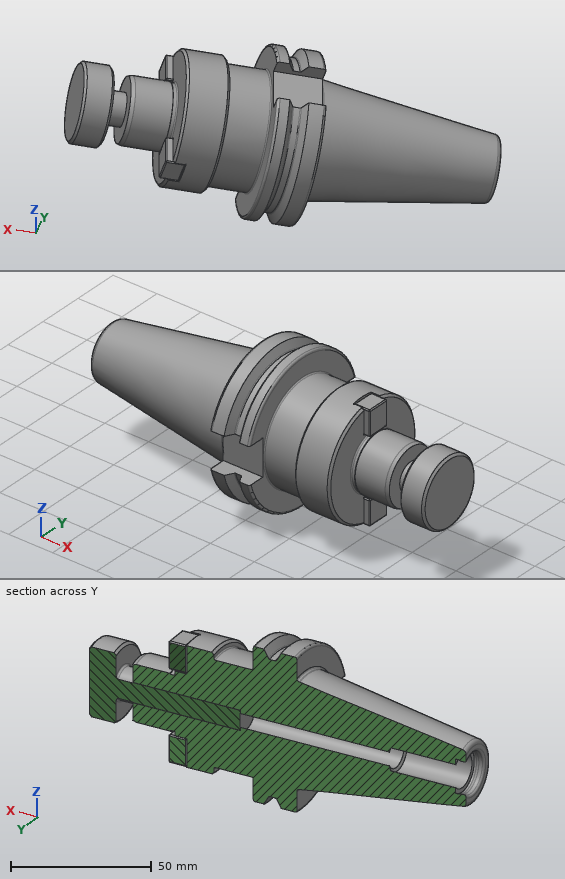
import cadquery as cq
import math

TOTAL_LENGTH = 154.2

GAUGE_DIAMETER = 44.5
TAPER_LENGTH = 68.0
TAPER_RATIO = 7 / 24
TAPER_END_FILLET = 1.7

ROOT_FILLET = 0.5

FLANGE_DIAMETER = 63.2
FLANGE_START = 69.3
FLANGE_END = 87.3
FLANGE_EDGE_FILLET = 1.0
GAUGE_FILLET = 1.0
GROOVE_CENTRE = 79.3
GROOVE_FLOOR_WIDTH = 3.0
GROOVE_FLOOR_DIAMETER = 56.1
GROOVE_FLANK_ANGLE = 60
DRIVE_SLOT_WIDTH = 16.4
DEEP_SLOT_FLOOR = 22.8
SHALLOW_SLOT_FLOOR = 25.0

COLLAR_DIAMETER = 50.0
COLLAR_START = 103.2
COLLAR_END = 119.2
COLLAR_CHAMFER = 1.0
PILOT_DIAMETER = 25.5
PILOT_END = 136.5
PILOT_CHAMFER_LENGTH = 1.5
PILOT_CHAMFER_DEPTH = 0.5
RELIEF_DIAMETER = 24.8
RELIEF_END = 121.1

MOUTH_DIAMETER = 18.0
PILOT_BORE_DIAMETER = 16.4
UNDERCUT_DIAMETER = 16.8
UNDERCUT_START = 2.3
UNDERCUT_FULL = 3.4
UNDERCUT_END = 4.3
DRAWBAR_BORE_DIAMETER = 13.4
DRAWBAR_BORE_DEPTH = 30.8
DRILL_POINT_ANGLE = 60
PASSAGE_DIAMETER = 11.3

SCREW_DIAMETER = 12.6
SCREW_START = 92.5
HEAD_DIAMETER = 30.0
HEAD_START = 143.1
HEAD_CHAMFER = 1.0
HEAD_FILLET = 0.8

KEY_START = 114.5
KEY_END = 121.9
KEY_WIDTH = 10.0
KEY_INNER_RADIUS = 13.1
KEY_OUTER_RADIUS = 24.4
KEY_CHAMFER = 0.5
KEY_SIDES = (1, -1)

SELECT_MARGIN = 0.2


def revolve_profile(points):
    """Solid of revolution about X from (x, diameter) points, closed along the axis."""
    outline = [(points[0][0], 0)]
    outline += [(x, diameter / 2) for x, diameter in points]
    outline += [(points[-1][0], 0)]
    return cq.Workplane("XY").polyline(outline).close().revolve(360, (0, 0), (1, 0))


def ring(x, diameter):
    """Selector for the circular edge of the given diameter around the axis at position x."""
    outer = diameter / 2 + SELECT_MARGIN
    inner = diameter / 2 - SELECT_MARGIN
    before = x - SELECT_MARGIN
    after = x + SELECT_MARGIN
    outer_box = cq.selectors.BoxSelector((before, -outer, -outer), (after, outer, outer), True)
    inner_box = cq.selectors.BoxSelector((before, -inner, -inner), (after, inner, inner), True)
    return outer_box - inner_box


def make_housing_blank():
    """Turned outside of the housing, before the bore and slots are cut."""
    small_end = GAUGE_DIAMETER - TAPER_LENGTH * TAPER_RATIO
    groove_depth = (FLANGE_DIAMETER - GROOVE_FLOOR_DIAMETER) / 2
    flank_length = groove_depth / math.tan(math.radians(GROOVE_FLANK_ANGLE))
    groove_half = GROOVE_FLOOR_WIDTH / 2
    blank = revolve_profile([
        (0, small_end),
        (TAPER_LENGTH, GAUGE_DIAMETER),
        (FLANGE_START, GAUGE_DIAMETER),
        (FLANGE_START, FLANGE_DIAMETER),
        (GROOVE_CENTRE - groove_half - flank_length, FLANGE_DIAMETER),
        (GROOVE_CENTRE - groove_half, GROOVE_FLOOR_DIAMETER),
        (GROOVE_CENTRE + groove_half, GROOVE_FLOOR_DIAMETER),
        (GROOVE_CENTRE + groove_half + flank_length, FLANGE_DIAMETER),
        (FLANGE_END, FLANGE_DIAMETER),
        (FLANGE_END, GAUGE_DIAMETER),
        (COLLAR_START, GAUGE_DIAMETER),
        (COLLAR_START, COLLAR_DIAMETER - 2 * COLLAR_CHAMFER),
        (COLLAR_START + COLLAR_CHAMFER, COLLAR_DIAMETER),
        (COLLAR_END - COLLAR_CHAMFER, COLLAR_DIAMETER),
        (COLLAR_END, COLLAR_DIAMETER - 2 * COLLAR_CHAMFER),
        (COLLAR_END, RELIEF_DIAMETER),
        (RELIEF_END, RELIEF_DIAMETER),
        (RELIEF_END, PILOT_DIAMETER),
        (PILOT_END - PILOT_CHAMFER_LENGTH, PILOT_DIAMETER),
        (PILOT_END, PILOT_DIAMETER - 2 * PILOT_CHAMFER_DEPTH),
    ])

    blank = blank.edges(ring(0, small_end)).fillet(TAPER_END_FILLET)
    for x in (FLANGE_START, FLANGE_END):
        blank = blank.edges(ring(x, FLANGE_DIAMETER)).fillet(FLANGE_EDGE_FILLET)
    blank = blank.edges(ring(FLANGE_START, GAUGE_DIAMETER)).fillet(GAUGE_FILLET)
    for x in (FLANGE_END, COLLAR_START):
        blank = blank.edges(ring(x, GAUGE_DIAMETER)).fillet(ROOT_FILLET)
    for x in (GROOVE_CENTRE - groove_half, GROOVE_CENTRE + groove_half):
        blank = blank.edges(ring(x, GROOVE_FLOOR_DIAMETER)).fillet(ROOT_FILLET)
    blank = blank.edges(ring(COLLAR_END, RELIEF_DIAMETER)).fillet(ROOT_FILLET)
    return blank


def make_drive_slot(floor, side):
    """Cutter for one flange slot; side is +1 or -1 along Y."""
    depth = FLANGE_DIAMETER / 2
    return (cq.Workplane("XY")
            .box(FLANGE_END - FLANGE_START, depth, DRIVE_SLOT_WIDTH, centered=(False, True, True))
            .translate((FLANGE_START, side * (floor + depth / 2), 0)))


def make_bore():
    """Cutter for the stepped bore, down to the hole that the screw fills."""
    shoulder = (DRAWBAR_BORE_DIAMETER - PASSAGE_DIAMETER) / 2
    drill_point = shoulder / math.tan(math.radians(DRILL_POINT_ANGLE))
    return revolve_profile([
        (0, PILOT_BORE_DIAMETER),
        (UNDERCUT_START, PILOT_BORE_DIAMETER),
        (UNDERCUT_FULL, UNDERCUT_DIAMETER),
        (UNDERCUT_END, UNDERCUT_DIAMETER),
        (UNDERCUT_END, DRAWBAR_BORE_DIAMETER),
        (DRAWBAR_BORE_DEPTH, DRAWBAR_BORE_DIAMETER),
        (DRAWBAR_BORE_DEPTH + drill_point, PASSAGE_DIAMETER),
        (SCREW_START, PASSAGE_DIAMETER),
        (SCREW_START, SCREW_DIAMETER),
        (PILOT_END, SCREW_DIAMETER),
    ])


def make_key(side):
    """Drive key, chamfered all round; side is +1 or -1 along Z."""
    height = KEY_OUTER_RADIUS - KEY_INNER_RADIUS
    key = (cq.Workplane("XY")
           .box(KEY_END - KEY_START, KEY_WIDTH, height, centered=(False, True, False))
           .edges()
           .chamfer(KEY_CHAMFER)
           .translate((KEY_START, 0, KEY_INNER_RADIUS)))
    return key if side > 0 else key.mirror("XY")


def make_key_slot(side):
    """Cutter for the slot that holds one key: square-cornered, open outwards and towards +X."""
    height = COLLAR_DIAMETER / 2 - KEY_INNER_RADIUS
    slot = (cq.Workplane("XY")
            .box(KEY_END - KEY_START, KEY_WIDTH, height, centered=(False, True, False))
            .translate((KEY_START, 0, KEY_INNER_RADIUS)))
    return slot if side > 0 else slot.mirror("XY")


def make_screw():
    """Clamping screw with a round head, the shank filling its hole in the pilot."""
    screw = revolve_profile([
        (SCREW_START, SCREW_DIAMETER),
        (HEAD_START, SCREW_DIAMETER),
        (HEAD_START, HEAD_DIAMETER - 2 * HEAD_CHAMFER),
        (HEAD_START + HEAD_CHAMFER, HEAD_DIAMETER),
        (TOTAL_LENGTH - HEAD_CHAMFER, HEAD_DIAMETER),
        (TOTAL_LENGTH, HEAD_DIAMETER - 2 * HEAD_CHAMFER),
    ])
    return screw.edges(ring(HEAD_START, SCREW_DIAMETER)).fillet(HEAD_FILLET)


def make_housing():
    """Housing with its bore, flange slots and key slots."""
    housing = make_housing_blank().cut(make_bore())
    mouth_fillet = (MOUTH_DIAMETER - PILOT_BORE_DIAMETER) / 2
    housing = housing.edges(ring(0, PILOT_BORE_DIAMETER)).fillet(mouth_fillet)
    housing = housing.cut(make_drive_slot(DEEP_SLOT_FLOOR, -1))
    housing = housing.cut(make_drive_slot(SHALLOW_SLOT_FLOOR, 1))
    for side in KEY_SIDES:
        housing = housing.cut(make_key_slot(side))
    return housing


housing = make_housing()
screw = make_screw()
keys = [make_key(side) for side in KEY_SIDES]

result = cq.Compound.makeCompound([housing.val(), screw.val(), *[key.val() for key in keys]])